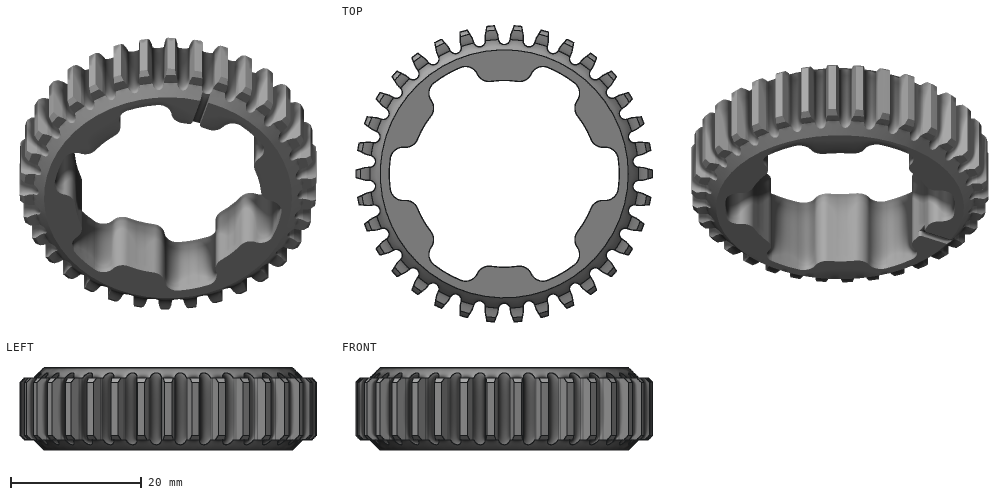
import cadquery as cq
import math

TOOTH_COUNT = 34
RING_WIDTH = 12.7
TIP_RADIUS = 22.81
ROOT_RADIUS = 19.88
TIP_CHAMFER = 0.7

TOOTH_TIP_HALF_WIDTH = 0.58
ROOT_FILLET = 0.9
FLANK_BREAK_RADIUS = 21.4
FLANK_BREAK_HALF_WIDTH = 0.98

FACE_WIDTH = 9.525
FACE_RADIUS = 19.05
SHOULDER_DEPTH = (RING_WIDTH - FACE_WIDTH) / 2
SHOULDER_RADIUS = FACE_RADIUS + SHOULDER_DEPTH

LOBE_COUNT = 6
LOBE_RADIUS = 17.65
TAB_RADIUS = 14.33
TAB_NOSE_HALF_ANGLE = 8.2
BORE_FILLET = 2.0

SLOT_WIDTH = 1.27
SLOT_DEPTH = 0.95
SLOT_MOUTH_FILLET = 0.5

TOOTH_PITCH = 360 / TOOTH_COUNT
LOBE_PITCH = 360 / LOBE_COUNT
FIRST_GAP_ANGLE = 90
OVERCUT = 1.0


def polar(radius, degrees):
    angle = math.radians(degrees)
    return (radius * math.cos(angle), radius * math.sin(angle))


def make_blank():
    """Revolved ring: flat faces, conical shoulders, tooth band with chamfered rim."""
    half_ring = RING_WIDTH / 2
    half_face = FACE_WIDTH / 2
    half_rim = half_face - TIP_CHAMFER
    profile = [
        (0, half_ring),
        (FACE_RADIUS, half_ring),
        (SHOULDER_RADIUS, half_face),
        (TIP_RADIUS - TIP_CHAMFER, half_face),
        (TIP_RADIUS, half_rim),
        (TIP_RADIUS, -half_rim),
        (TIP_RADIUS - TIP_CHAMFER, -half_face),
        (SHOULDER_RADIUS, -half_face),
        (FACE_RADIUS, -half_ring),
        (0, -half_ring),
    ]
    return cq.Workplane("XZ").polyline(profile).close().revolve(360, (0, 0, 0), (0, 1, 0))


def tooth_flank_point(radius, half_width):
    """Point on the flank, facing the +Y gap, of the tooth on the +X side of that gap."""
    half_width_angle = math.degrees(math.asin(half_width / radius))
    return polar(radius, FIRST_GAP_ANGLE - TOOTH_PITCH / 2 + half_width_angle)


def make_gap_cutter():
    """Prism of one tooth gap, centred on +Y."""
    tip_x, tip_y = tooth_flank_point(TIP_RADIUS, TOOTH_TIP_HALF_WIDTH)
    break_x, break_y = tooth_flank_point(FLANK_BREAK_RADIUS, FLANK_BREAK_HALF_WIDTH)
    root_y = ROOT_RADIUS + ROOT_FILLET
    return (
        cq.Workplane("XY")
        .workplane(offset=-RING_WIDTH / 2)
        .moveTo(-ROOT_FILLET, root_y)
        .threePointArc((0, ROOT_RADIUS), (ROOT_FILLET, root_y))
        .lineTo(break_x, break_y)
        .lineTo(tip_x, tip_y)
        .lineTo(tip_x, TIP_RADIUS + OVERCUT)
        .lineTo(-tip_x, TIP_RADIUS + OVERCUT)
        .lineTo(-tip_x, tip_y)
        .lineTo(-break_x, break_y)
        .close()
        .extrude(RING_WIDTH)
    )


def tab_wall():
    """Points that place the two equal, tangent arcs of a tab wall.

    Returns a list of (radius, degrees from the tab axis) running from the tab nose outwards:
    nose end, middle of nose arc, inflection, middle of lobe arc, lobe end.
    """
    nose_centre_radius = TAB_RADIUS + BORE_FILLET
    lobe_centre_radius = LOBE_RADIUS - BORE_FILLET
    centre_distance = 2 * BORE_FILLET
    cosine = (nose_centre_radius**2 + lobe_centre_radius**2 - centre_distance**2) / (
        2 * nose_centre_radius * lobe_centre_radius
    )
    lobe_angle = TAB_NOSE_HALF_ANGLE + math.degrees(math.acos(cosine))
    nose_centre = cq.Vector(*polar(nose_centre_radius, TAB_NOSE_HALF_ANGLE))
    lobe_centre = cq.Vector(*polar(lobe_centre_radius, lobe_angle))
    nose_end = cq.Vector(*polar(TAB_RADIUS, TAB_NOSE_HALF_ANGLE))
    lobe_end = cq.Vector(*polar(LOBE_RADIUS, lobe_angle))
    inflection = (nose_centre + lobe_centre) * 0.5
    points = [
        nose_end,
        arc_middle(nose_centre, nose_end, inflection),
        inflection,
        arc_middle(lobe_centre, inflection, lobe_end),
        lobe_end,
    ]
    return [(point.Length, math.degrees(math.atan2(point.y, point.x))) for point in points]


def arc_middle(centre, start, end):
    """Middle point of the shorter arc from start to end."""
    radius = (start - centre).Length
    return centre + ((start + end) * 0.5 - centre).normalized() * radius


def make_bore_cutter():
    """Six-lobed through bore with rounded tabs between the lobes."""
    wall = tab_wall()
    nose_end_angle = wall[0][1]
    lobe_end_angle = wall[-1][1]
    outline = (
        cq.Workplane("XY")
        .workplane(offset=-RING_WIDTH / 2)
        .moveTo(*polar(TAB_RADIUS, FIRST_GAP_ANGLE - nose_end_angle))
    )
    for index in range(LOBE_COUNT):
        tab = FIRST_GAP_ANGLE + index * LOBE_PITCH
        lobe = tab + LOBE_PITCH / 2
        next_tab = tab + LOBE_PITCH
        rising = [polar(radius, tab + angle) for radius, angle in wall]
        falling = [polar(radius, next_tab - angle) for radius, angle in reversed(wall)]
        outline = (
            outline
            .threePointArc(polar(TAB_RADIUS, tab), rising[0])
            .threePointArc(rising[1], rising[2])
            .threePointArc(rising[3], rising[4])
            .threePointArc(polar(LOBE_RADIUS, lobe), polar(LOBE_RADIUS, next_tab - lobe_end_angle))
            .threePointArc(falling[1], falling[2])
            .threePointArc(falling[3], falling[4])
        )
    return outline.close().extrude(RING_WIDTH)


def make_slot_cutter():
    """Radial slot along +Y with a flared, rounded mouth at the tab nose."""
    half_width = SLOT_WIDTH / 2
    half_mouth = half_width + SLOT_MOUTH_FILLET
    inner_y = TAB_RADIUS - OVERCUT
    outer_y = TIP_RADIUS
    nose_y = math.sqrt(TAB_RADIUS**2 - half_mouth**2)
    wall_y = nose_y + SLOT_MOUTH_FILLET
    bow = SLOT_MOUTH_FILLET * (1 - math.sqrt(0.5))
    bow_x = half_width + bow
    bow_y = nose_y + bow
    return (
        cq.Workplane("XY")
        .workplane(offset=-RING_WIDTH / 2)
        .moveTo(-half_mouth, inner_y)
        .lineTo(half_mouth, inner_y)
        .lineTo(half_mouth, nose_y)
        .threePointArc((bow_x, bow_y), (half_width, wall_y))
        .lineTo(half_width, outer_y)
        .lineTo(-half_width, outer_y)
        .lineTo(-half_width, wall_y)
        .threePointArc((-bow_x, bow_y), (-half_mouth, nose_y))
        .close()
        .extrude(SLOT_DEPTH)
    )


def cut_teeth(blank):
    gap = make_gap_cutter().val()
    axis_start = cq.Vector(0, 0, 0)
    axis_end = cq.Vector(0, 0, 1)
    gaps = [gap.rotate(axis_start, axis_end, index * TOOTH_PITCH) for index in range(TOOTH_COUNT)]
    return cq.Workplane(blank.val().cut(*gaps))


result = cut_teeth(make_blank()).cut(make_bore_cutter()).cut(make_slot_cutter())